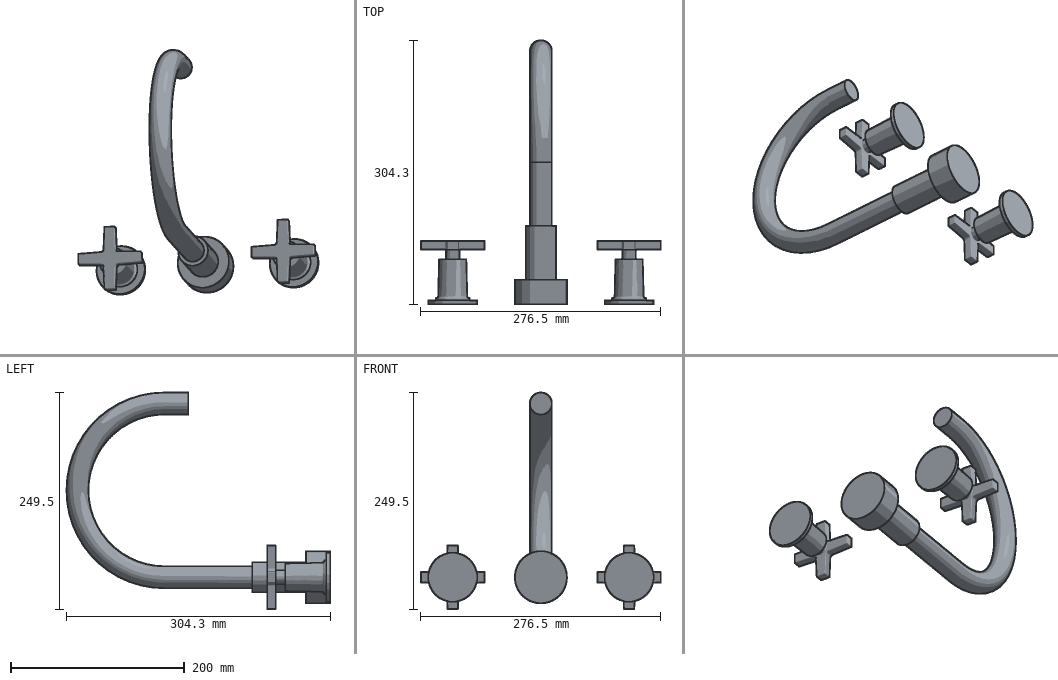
import cadquery as cq
import math


tube_radius = 12.8
bend_radius = 100.0
bend_center_y = 191.5
outlet_y = 163.7
base_radius = 30.0
base_length = 28.3
collar_diameter = 35.0
collar_end_y = 90.5

handle_spacing = 203.2
plate_radius = 28.3
plate_thickness = 4.5
ring_radius = 19.8
ring_top_y = 7.3
ring_rounding = 1.0
sleeve_root_fillet = 1.98
sleeve_tip_radius = 15.8
sleeve_tip_y = 52.0
sleeve_tip_rounding = 1.0
stem_radius = 8.0
stem_fillet = 1.0
cross_span = 73.3
cross_thickness = 10.0
cross_front_y = 73.0
arm_tip_width = 12.2
arm_root_width = 14.5
corner_fillet = 3.0
edge_rounding = 0.75

quarter_arc_middle = math.sqrt(0.5)


def wall_cylinder(radius, start_y, end_y):
    """Cylinder around the Y axis between two distances from the wall."""
    axis = cq.Vector(0, 1, 0)
    return cq.Workplane(cq.Solid.makeCylinder(radius, end_y - start_y, cq.Vector(0, start_y, 0), axis))


def make_spout():
    """Wall base, collar and a tube that bends back through half a circle."""
    base = wall_cylinder(base_radius, 0, base_length)
    collar = wall_cylinder(collar_diameter / 2, base_length, collar_end_y)
    tube_path = (
        cq.Workplane("YZ")
        .moveTo(collar_end_y, 0)
        .lineTo(bend_center_y, 0)
        .threePointArc((bend_center_y + bend_radius, bend_radius), (bend_center_y, 2 * bend_radius))
        .lineTo(outlet_y, 2 * bend_radius)
    )
    tube = cq.Workplane("XZ", origin=(0, collar_end_y, 0)).circle(tube_radius).sweep(tube_path)
    return base.union(collar).union(tube)


def add_quarter_arc(profile, center, toward_start, toward_end, radius):
    """Extend the profile with a quarter arc given by unit directions from its center to its ends."""
    center_x, center_y = center
    middle = (
        center_x + radius * quarter_arc_middle * (toward_start[0] + toward_end[0]),
        center_y + radius * quarter_arc_middle * (toward_start[1] + toward_end[1]),
    )
    end = (center_x + radius * toward_end[0], center_y + radius * toward_end[1])
    return profile.threePointArc(middle, end)


def make_pedestal():
    """Turned wall plate, ring, tapered sleeve and stem."""
    right, left, up, down = (1, 0), (-1, 0), (0, 1), (0, -1)
    cross_back_y = cross_front_y - cross_thickness
    ring_edge_radius = ring_radius - ring_rounding
    ring_edge_y = ring_top_y - ring_rounding
    sleeve_edge_radius = sleeve_tip_radius - sleeve_tip_rounding
    sleeve_edge_y = sleeve_tip_y - sleeve_tip_rounding
    stem_root_y = sleeve_tip_y + stem_fillet
    stem_tip_y = cross_back_y - stem_fillet
    stem_fillet_center = stem_radius + stem_fillet

    profile = (
        cq.Workplane("XY")
        .lineTo(plate_radius, 0)
        .lineTo(plate_radius, plate_thickness)
        .lineTo(ring_radius, plate_thickness)
        .lineTo(ring_radius, ring_edge_y)
    )
    profile = add_quarter_arc(profile, (ring_edge_radius, ring_edge_y), right, up, ring_rounding)
    profile = add_quarter_arc(
        profile, (ring_edge_radius, ring_top_y + sleeve_root_fillet), down, left, sleeve_root_fillet
    )
    profile = profile.lineTo(sleeve_tip_radius, sleeve_edge_y)
    profile = add_quarter_arc(profile, (sleeve_edge_radius, sleeve_edge_y), right, up, sleeve_tip_rounding)
    profile = profile.lineTo(stem_fillet_center, sleeve_tip_y)
    profile = add_quarter_arc(profile, (stem_fillet_center, stem_root_y), down, left, stem_fillet)
    profile = profile.lineTo(stem_radius, stem_tip_y)
    profile = add_quarter_arc(profile, (stem_fillet_center, stem_tip_y), left, up, stem_fillet)
    profile = profile.lineTo(0, cross_back_y).close()
    return profile.revolve(360, (0, 0, 0), (0, 1, 0))


def make_cross():
    """Four-armed grip, each arm tapering to its tip, with filleted inner corners and rounded edges."""
    reach = cross_span / 2
    half_tip = arm_tip_width / 2
    half_root = arm_root_width / 2
    outline = []
    for along_x, along_z in ((1, 0), (0, 1), (-1, 0), (0, -1)):
        for distance, side in ((reach, -half_tip), (reach, half_tip), (half_root, half_root)):
            outline.append((distance * along_x - side * along_z, distance * along_z + side * along_x))
    front_plane = cq.Workplane("XZ", origin=(0, cross_front_y, 0))
    cross = front_plane.polyline(outline).close().extrude(cross_thickness)

    center = cq.Vector(0, cross_front_y - cross_thickness / 2, 0)
    corner_box = cq.Vector(arm_root_width, cross_thickness, arm_root_width)
    inner_corners = cq.selectors.BoxSelector((center - corner_box).toTuple(), (center + corner_box).toTuple())
    cross = cross.edges("|Y").edges(inner_corners).fillet(corner_fillet)
    return cross.faces("<X or >X or <Y or >Y or <Z or >Z").edges().fillet(edge_rounding)


def make_handle(center_x):
    """One cross handle on its pedestal."""
    return make_pedestal().union(make_cross()).translate((center_x, 0, 0))


spout = make_spout()
handles = [make_handle(side * handle_spacing / 2) for side in (-1, 1)]

result = cq.Compound.makeCompound([spout.val(), *[handle.val() for handle in handles]])